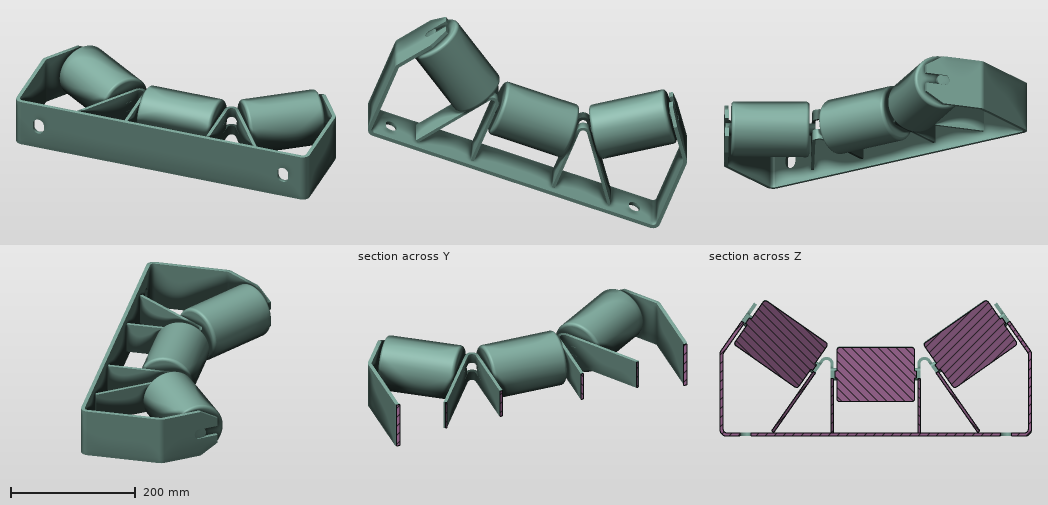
import cadquery as cq
import math

FRAME_LENGTH = 500.0
FRAME_HEIGHT = 80.0
FRAME_SHEET = 6.0
FRAME_BEND_RADIUS = 12.0
ARM_LENGTH = 93.0
ARM_CORNER_ALONG = 29.5
ARM_CORNER_HEIGHT = 17.5
MOUNT_SLOT_WIDTH = 18.5
MOUNT_SLOT_HEIGHT = 26.0
MOUNT_SLOT_X = 208.5

BRACKET_HEIGHT = 50.0
BRACKET_SHEET = 5.0
BRACKET_BEND_RADIUS = 11.5

ROLLER_DIAMETER = 89.0
ROLLER_LENGTH = 125.0
ROLLER_EDGE_RADIUS = 5.0
ROLLER_END_GAP = 4.5
TILT = 35.0
MIDDLE_ROLLER_Y = 99.0
MIDDLE_AXIS_DROP = 16.5
SIDE_AXIS_DROP = 15.5

PIN_DIAMETER = 20.0
PIN_FLAT_WIDTH = 15.5
PIN_SLOT_WIDTH = 16.5
PIN_SHOULDER_GAP = 1.0

SPAN = ROLLER_LENGTH + 2 * ROLLER_END_GAP
COS_TILT = math.cos(math.radians(TILT))
SIN_TILT = math.sin(math.radians(TILT))
BRACKET_BEND_X = SPAN / 2 + BRACKET_BEND_RADIUS
BRACKET_BEND_Y = MIDDLE_ROLLER_Y + MIDDLE_AXIS_DROP
FRAME_BEND_X = FRAME_LENGTH / 2 - FRAME_BEND_RADIUS
FRAME_BEND_Y = BRACKET_BEND_Y + (
    BRACKET_BEND_RADIUS + SPAN + FRAME_SHEET - FRAME_BEND_RADIUS
    - (FRAME_BEND_X - BRACKET_BEND_X) * COS_TILT
) / SIN_TILT


def tilted(origin, along_axis, up_wall):
    """Point measured from origin along the side roller axis and up the walls square to it."""
    x, y = origin
    return (
        x + along_axis * COS_TILT - up_wall * SIN_TILT,
        y + along_axis * SIN_TILT + up_wall * COS_TILT,
    )


def on_circle(centre, radius, degrees):
    angle = math.radians(degrees)
    return (centre[0] + radius * math.cos(angle), centre[1] + radius * math.sin(angle))


BRACKET_BEND = (BRACKET_BEND_X, BRACKET_BEND_Y)
FRAME_BEND = (FRAME_BEND_X, FRAME_BEND_Y)
SIDE_ROLLER = tilted(BRACKET_BEND, BRACKET_BEND_RADIUS + SPAN / 2, -SIDE_AXIS_DROP)
ARM_BEND_FROM_AXIS = (
    (FRAME_BEND_Y - SIDE_ROLLER[1]) * COS_TILT - (FRAME_BEND_X - SIDE_ROLLER[0]) * SIN_TILT
)


def mirrored(body):
    return body.mirror("YZ")


def place_on_side_axis(body):
    """Move a body built about the X axis onto the +X side roller axis."""
    return body.rotate((0, 0, 0), (0, 0, 1), TILT).translate((*SIDE_ROLLER, 0))


def pin_slot(wall_x, thickness, open_length):
    """Cutter for a slot at wall_x that is round at the pin and runs out toward +Y."""
    seat = cq.Workplane("YZ").circle(PIN_DIAMETER / 2).extrude(thickness)
    passage = cq.Workplane("YZ").rect(2 * open_length, PIN_SLOT_WIDTH).extrude(thickness)
    opening = cq.Workplane("YZ").center(open_length / 2, 0).rect(open_length, PIN_SLOT_WIDTH)
    slot = seat.intersect(passage).union(opening.extrude(thickness))
    return slot.translate((wall_x, 0, 0))


def arm_corners():
    """Triangular prisms that bevel the top and bottom corners of the arm tip."""
    tip = ARM_LENGTH + ARM_BEND_FROM_AXIS
    top = FRAME_HEIGHT / 2
    upper = (
        cq.Workplane("YZ")
        .polyline([(tip, top), (tip - ARM_CORNER_ALONG, top), (tip, top - ARM_CORNER_HEIGHT)])
        .close()
        .extrude(FRAME_SHEET)
        .translate((SPAN / 2, 0, 0))
    )
    return place_on_side_axis(upper.union(upper.mirror("XY")))


def mount_slot():
    """Upright slot through the base plate."""
    return (
        cq.Workplane("XZ")
        .center(MOUNT_SLOT_X, 0)
        .slot2D(MOUNT_SLOT_HEIGHT, MOUNT_SLOT_WIDTH, 90)
        .extrude(-FRAME_SHEET)
    )


def make_half_frame():
    """+X half of the frame, cut at the YZ plane."""
    base_corner = (FRAME_BEND_X, FRAME_BEND_RADIUS)
    inner_radius = FRAME_BEND_RADIUS - FRAME_SHEET
    side_inner_x = FRAME_LENGTH / 2 - FRAME_SHEET
    half = (
        cq.Workplane("XY")
        .moveTo(0, 0)
        .lineTo(FRAME_BEND_X, 0)
        .threePointArc(
            on_circle(base_corner, FRAME_BEND_RADIUS, -45),
            (FRAME_LENGTH / 2, FRAME_BEND_RADIUS),
        )
        .lineTo(FRAME_LENGTH / 2, FRAME_BEND_Y)
        .threePointArc(
            on_circle(FRAME_BEND, FRAME_BEND_RADIUS, TILT / 2),
            on_circle(FRAME_BEND, FRAME_BEND_RADIUS, TILT),
        )
        .lineTo(*tilted(FRAME_BEND, FRAME_BEND_RADIUS, ARM_LENGTH))
        .lineTo(*tilted(FRAME_BEND, inner_radius, ARM_LENGTH))
        .lineTo(*on_circle(FRAME_BEND, inner_radius, TILT))
        .threePointArc(on_circle(FRAME_BEND, inner_radius, TILT / 2), (side_inner_x, FRAME_BEND_Y))
        .lineTo(side_inner_x, FRAME_BEND_RADIUS)
        .threePointArc(on_circle(base_corner, inner_radius, -45), (FRAME_BEND_X, FRAME_SHEET))
        .lineTo(0, FRAME_SHEET)
        .close()
        .extrude(FRAME_HEIGHT / 2, both=True)
    )
    half = half.cut(arm_corners())
    half = half.cut(place_on_side_axis(pin_slot(SPAN / 2, FRAME_SHEET, FRAME_HEIGHT)))
    return half.cut(mount_slot())


def make_frame():
    half = make_half_frame()
    return half.union(mirrored(half))


def make_bracket():
    """Bracket of the +X half: an upright leg, a bend and a leg square to the side roller axis."""
    inner_radius = BRACKET_BEND_RADIUS - BRACKET_SHEET
    leg_x = SPAN / 2
    middle_angle = (180 + TILT) / 2
    foot = -(BRACKET_BEND_Y + inner_radius * SIN_TILT - FRAME_SHEET) / COS_TILT
    bracket = (
        cq.Workplane("XY")
        .moveTo(leg_x, FRAME_SHEET)
        .lineTo(leg_x, BRACKET_BEND_Y)
        .threePointArc(
            on_circle(BRACKET_BEND, BRACKET_BEND_RADIUS, middle_angle),
            on_circle(BRACKET_BEND, BRACKET_BEND_RADIUS, TILT),
        )
        .lineTo(*tilted(BRACKET_BEND, BRACKET_BEND_RADIUS, foot))
        .lineTo(*tilted(BRACKET_BEND, inner_radius, foot))
        .lineTo(*on_circle(BRACKET_BEND, inner_radius, TILT))
        .threePointArc(
            on_circle(BRACKET_BEND, inner_radius, middle_angle),
            (leg_x + BRACKET_SHEET, BRACKET_BEND_Y),
        )
        .lineTo(leg_x + BRACKET_SHEET, FRAME_SHEET)
        .close()
        .extrude(BRACKET_HEIGHT / 2, both=True)
    )
    bend_slot = (
        cq.Workplane("XY")
        .box(2 * BRACKET_BEND_RADIUS, BRACKET_BEND_RADIUS, PIN_SLOT_WIDTH, centered=(True, False, True))
        .translate((BRACKET_BEND_X, BRACKET_BEND_Y, 0))
    )
    upright_slot = pin_slot(leg_x, BRACKET_SHEET, MIDDLE_AXIS_DROP).translate((0, MIDDLE_ROLLER_Y, 0))
    inclined_slot = place_on_side_axis(
        pin_slot(-SPAN / 2 - BRACKET_SHEET, BRACKET_SHEET, SIDE_AXIS_DROP + BRACKET_BEND_RADIUS)
    )
    return bracket.cut(bend_slot).cut(upright_slot).cut(inclined_slot)


def make_roller():
    """Roller about the X axis; its pin is round at the barrel and flattened at both ends."""
    barrel = (
        cq.Workplane("XZ")
        .rect(ROLLER_LENGTH, ROLLER_DIAMETER / 2, centered=(True, False))
        .revolve(360, (0, 0, 0), (1, 0, 0))
        .edges("%CIRCLE")
        .fillet(ROLLER_EDGE_RADIUS)
    )
    shaft = cq.Workplane("YZ").circle(PIN_DIAMETER / 2).extrude(SPAN / 2 - PIN_SHOULDER_GAP, both=True)
    pin_half_length = SPAN / 2 + BRACKET_SHEET
    ends = cq.Workplane("YZ").circle(PIN_DIAMETER / 2).extrude(pin_half_length, both=True)
    flats = cq.Workplane("YZ").rect(PIN_DIAMETER, PIN_FLAT_WIDTH).extrude(pin_half_length, both=True)
    return barrel.union(shaft).union(ends.intersect(flats))


frame = make_frame()
brackets = []
rollers = [make_roller().translate((0, MIDDLE_ROLLER_Y, 0))]
for is_mirrored in (False, True):
    bracket = make_bracket()
    roller = place_on_side_axis(make_roller())
    brackets.append(mirrored(bracket) if is_mirrored else bracket)
    rollers.append(mirrored(roller) if is_mirrored else roller)

result = cq.Compound.makeCompound([frame.val(), *[body.val() for body in brackets + rollers]])